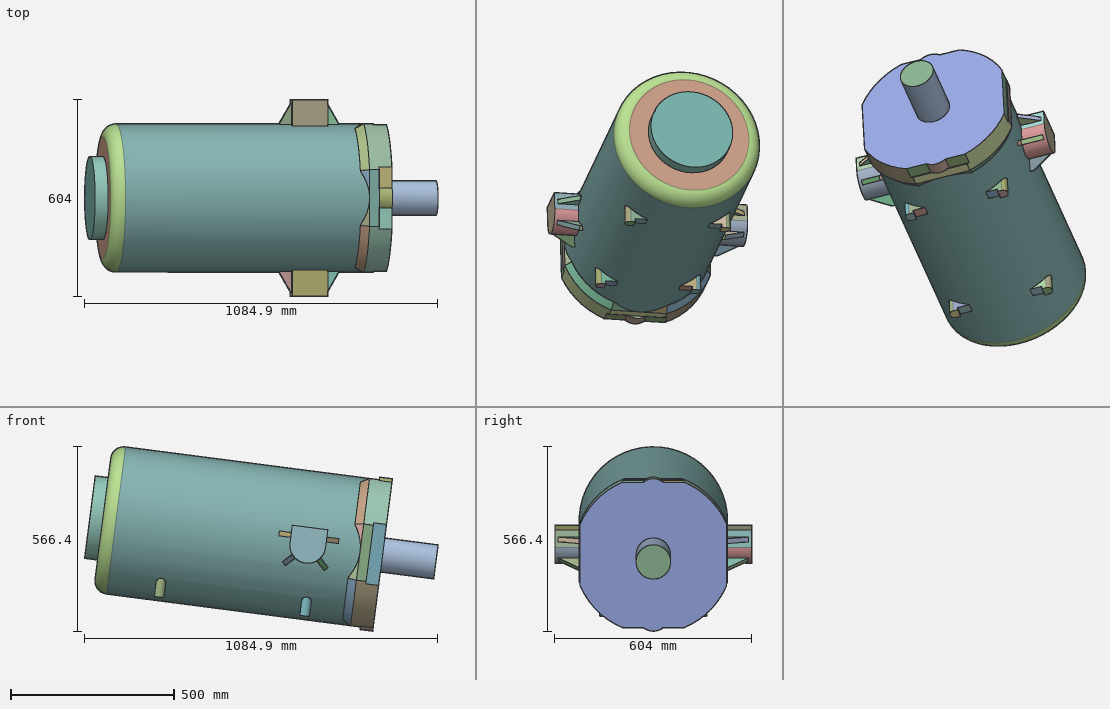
import cadquery as cq

tilt_angle = 7.38

body_radius = 228.0
body_edge_fillet = 41.0
body_start = -634.0
cap_radius = 128.0
cap_length = 40.0
shaft_radius = 53.0
shaft_length = 165.0

flange_radius = 244.0
collar_flat_distance = body_radius
plate_flat_distance = 225.0
taper_length = 26.5
taper_angle = 30.0
collar_length = 30.0
plate_thickness = 40.0
plate_end = 231.5
plate_start = plate_end - plate_thickness
taper_end = plate_start - collar_length

hump_radius = 47.0
hump_height = 11.0
hump_center = plate_flat_distance + hump_height - hump_radius

trunnion_radius = 55.0
trunnion_reach = 302.0
gusset_thickness = 15.0
gusset_length = 37.0
gusset_setback = 10.0
upper_gusset_height = 25.0
lower_gusset_angle = 45.0

leg_positions = (-432.0, 18.0)
leg_radius = 15.0
leg_center_offset = 149.5
leg_flat_length = 14.0
leg_bottom = -216.0
leg_plate_clearance = 10.0
leg_plate_inner_offset = 80.0
leg_plate_height = 60.0
leg_height = 110.0


def cylinder_along_x(radius, start, end):
    return cq.Workplane("YZ", origin=(start, 0, 0)).circle(radius).extrude(end - start)


def make_body():
    shell = cylinder_along_x(body_radius, body_start, plate_start)
    shell = shell.faces("<X").edges().fillet(body_edge_fillet)
    cap = cylinder_along_x(cap_radius, body_start - cap_length, body_start + body_edge_fillet)
    shaft = cylinder_along_x(shaft_radius, plate_start, plate_end + shaft_length)
    return shell.union(cap).union(shaft)


def flatted_disc(flat_distance, start, end):
    """A disc of the flange radius with four flats cut square to Y and Z."""
    side = 2 * flat_distance
    square = cq.Workplane("YZ", origin=(start, 0, 0)).rect(side, side).extrude(end - start)
    return square.intersect(cylinder_along_x(flange_radius, start, end))


def make_collar_taper():
    """A cone and four sloping planes that meet the collar's rim and flats."""
    face = cq.Workplane("YZ", origin=(taper_end, 0, 0))
    side = 2 * collar_flat_distance
    cone = face.circle(flange_radius).extrude(-taper_length, taper=taper_angle)
    pyramid = face.rect(side, side).extrude(-taper_length, taper=taper_angle)
    return cone.intersect(pyramid)


def make_flange():
    collar = flatted_disc(collar_flat_distance, taper_end, plate_start)
    plate = flatted_disc(plate_flat_distance, plate_start, plate_end)
    flange = make_collar_taper().union(collar).union(plate)
    for side in (-1, 1):
        hump = cylinder_along_x(hump_radius, plate_start, plate_end)
        flange = flange.union(hump.translate((0, 0, side * hump_center)))
    return flange


def make_gusset():
    """A gusset that runs out along +X from the trunnion axis, on the +Y side."""
    return (
        cq.Workplane("XY", origin=(0, 0, -gusset_thickness / 2))
        .moveTo(0, 0)
        .lineTo(0, trunnion_reach - gusset_setback)
        .lineTo(trunnion_radius, trunnion_reach - gusset_setback)
        .lineTo(trunnion_radius + gusset_length, body_radius)
        .lineTo(trunnion_radius + gusset_length, 0)
        .close()
        .extrude(gusset_thickness)
    )


def make_trunnion():
    """The +Y trunnion: a block rounded underneath, with four gussets."""
    trunnion = (
        cq.Workplane("XZ")
        .moveTo(-trunnion_radius, 0)
        .lineTo(-trunnion_radius, trunnion_radius)
        .lineTo(trunnion_radius, trunnion_radius)
        .lineTo(trunnion_radius, 0)
        .threePointArc((0, -trunnion_radius), (-trunnion_radius, 0))
        .close()
        .extrude(-trunnion_reach)
    )
    right_gussets = make_gusset().translate((0, 0, upper_gusset_height))
    lower_gusset = make_gusset().rotate((0, 0, 0), (0, 1, 0), lower_gusset_angle)
    right_gussets = right_gussets.union(lower_gusset)
    return trunnion.union(right_gussets).union(right_gussets.mirror("YZ"))


def make_leg(position):
    """A +Y leg, rounded on its outer side, with a plate running in to the body."""
    inner_offset = leg_center_offset - leg_flat_length
    leg = (
        cq.Workplane("XY", origin=(position, 0, leg_bottom))
        .moveTo(-leg_radius, inner_offset)
        .lineTo(-leg_radius, leg_center_offset)
        .threePointArc((0, leg_center_offset + leg_radius), (leg_radius, leg_center_offset))
        .lineTo(leg_radius, inner_offset)
        .close()
        .extrude(leg_height)
    )
    plate_bottom = leg_bottom + leg_plate_clearance
    plate_width = leg_center_offset - leg_plate_inner_offset
    plate = (
        cq.Workplane("XY", origin=(position, leg_plate_inner_offset, plate_bottom))
        .box(2 * leg_radius, plate_width, leg_plate_height, centered=(True, False, False))
    )
    return leg.union(plate)


machine = make_body().union(make_flange())
side_parts = [make_trunnion()] + [make_leg(position) for position in leg_positions]
for part in side_parts:
    machine = machine.union(part).union(part.mirror("XZ"))

result = machine.rotate((0, 0, 0), (0, 1, 0), tilt_angle)